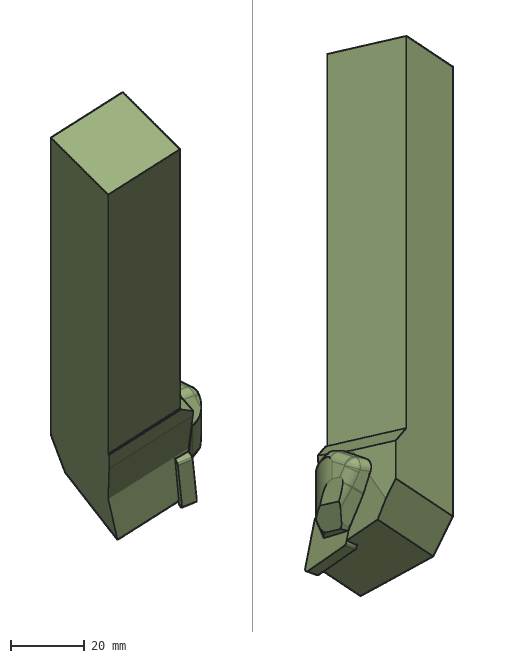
import cadquery as cq
import math

SHANK = 25.1
TOP_Z = 152.4

TIP_X, TIP_Z = 29.3, 1.7
HEEL_X, HEEL_Z = 6.2, 8.5
HEEL_TOP_Z = 19.0
RELIEF_Z = 16.2
HEAD_DEPTH = 31.0
HEAD_RISE_Z = 36.1
HEAD_FULL_Z = HEAD_RISE_Z - (HEAD_DEPTH - SHANK)
BULGE = 0.5
BULGE_LOW_Z = 30.2

EDGE = 15.5
NOSE_ANGLE = 55.0
NOSE_RADIUS = 0.8
INSERT_THICKNESS = 4.7
CORNER_X, CORNER_Y, CORNER_Z = 32.2, 25.6, -0.4
SLOPE_X, SLOPE_Z = -0.14, 0.09
END_EDGE_RISE = 0.31

CLAMP_TOP_Y = 36.9
CLAMP_BASE_Y = 27.5
CLAMP_CORNER_RADIUS = 3.0
CLAMP_TOP_RADIUS = 3.7
CLAMP_DRAFT = 18.0
CLAMP_BACK_Z = 31.9
CLAMP_FRONT_Z = 8.0
CLAMP_SIDE_X = 25.8
DOME_START_X = 16.8
CUT_SIZE = 91.5

seat_plane = cq.Plane(
    origin=(CORNER_X, CORNER_Y, CORNER_Z),
    xDir=(-1, -SLOPE_X + SLOPE_Z * END_EDGE_RISE, END_EDGE_RISE),
    normal=(-SLOPE_X, 1, -SLOPE_Z),
)


def make_insert():
    lean_x = EDGE * math.cos(math.radians(NOSE_ANGLE))
    lean_y = EDGE * math.sin(math.radians(NOSE_ANGLE))
    corners = [(0, 0), (EDGE, 0), (EDGE + lean_x, lean_y), (lean_x, lean_y)]
    blank = cq.Workplane(seat_plane).polyline(corners).close().extrude(-INSERT_THICKNESS)
    vertical_edges = cq.selectors.ParallelDirSelector(seat_plane.zDir)
    return blank.edges(vertical_edges).fillet(NOSE_RADIUS)


def make_shank_and_head():
    outline = [
        (0, TOP_Z), (SHANK, TOP_Z), (SHANK, HEAD_RISE_Z), (SHANK + BULGE, HEAD_RISE_Z),
        (SHANK + BULGE, BULGE_LOW_Z), (SHANK, RELIEF_Z), (TIP_X, TIP_Z),
        (HEEL_X, HEEL_Z), (0, HEEL_TOP_Z),
    ]
    body = cq.Workplane("XZ").polyline(outline).close().extrude(-HEAD_DEPTH)
    side = [
        (0, 0), (HEAD_DEPTH, 0), (HEAD_DEPTH, HEAD_FULL_Z),
        (SHANK, HEAD_RISE_Z), (SHANK, TOP_Z), (0, TOP_Z),
    ]
    body = body.intersect(cq.Workplane("YZ").polyline(side).close().extrude(CUT_SIZE))
    return body.cut(cq.Workplane(seat_plane).rect(CUT_SIZE, CUT_SIZE).extrude(CUT_SIZE))


def make_clamp():
    plan = [(4.9, 25.9), (18.6, 33.0), (27.0, 25.6), (27.0, 13.7), (24.4, 6.7), (16.8, 6.7), (9.9, 16.6)]
    root = cq.Workplane("XZ", origin=(0, CLAMP_BASE_Y, 0)).polyline(plan).close()
    block = root.extrude(CLAMP_BASE_Y - CLAMP_TOP_Y, taper=CLAMP_DRAFT)
    block = block.edges("not(#Y)").fillet(CLAMP_CORNER_RADIUS)
    block = block.faces(">Y").edges().fillet(CLAMP_TOP_RADIUS)
    side = [
        (CLAMP_BASE_Y, CLAMP_BACK_Z), (CLAMP_TOP_Y, CLAMP_BACK_Z), (CLAMP_TOP_Y, 20.4),
        (35.5, 13.9), (30.6, CLAMP_FRONT_Z), (CLAMP_BASE_Y, CLAMP_FRONT_Z),
    ]
    block = block.intersect(cq.Workplane("YZ").polyline(side).close().extrude(CUT_SIZE))
    dome = (
        cq.Workplane("XY")
        .moveTo(0, CLAMP_BASE_Y)
        .lineTo(0, CLAMP_TOP_Y)
        .lineTo(DOME_START_X, CLAMP_TOP_Y)
        .threePointArc((22.5, 34.6), (CLAMP_SIDE_X, 29.0))
        .lineTo(CLAMP_SIDE_X, CLAMP_BASE_Y)
        .close()
        .extrude(CUT_SIZE)
    )
    above_seat = cq.Workplane(seat_plane).rect(CUT_SIZE, CUT_SIZE).extrude(CUT_SIZE)
    return block.intersect(dome).intersect(above_seat)


insert = make_insert()
holder = make_shank_and_head().union(make_clamp()).cut(insert)

result = cq.Compound.makeCompound([holder.val(), insert.val()])